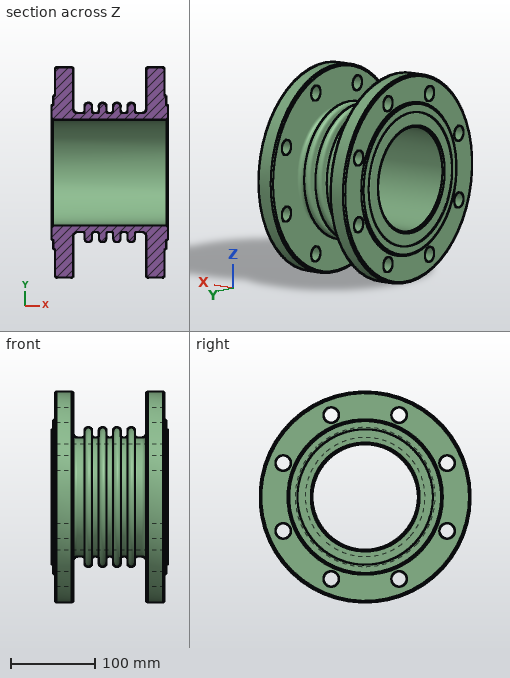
import cadquery as cq

length = 138.0
bore_radius = 62.5
pipe_radius = 70.8
edge_chamfer = 2.0

flange_radius = 125.0
flange_thickness = 22.0
raised_face_radius = 92.0
raised_face_height = 2.0
collar_radius = 80.2
collar_height = 2.0
step_chamfer = 2.0
collar_fillet = 1.8
flange_root_fillet = 4.8

bolt_count = 8
bolt_hole_diameter = 18.0
bolt_circle_diameter = 210.0

convolution_count = 4
convolution_span = 50.8
convolution_pitch = convolution_span / (convolution_count - 1)
convolution_width = 9.2
convolution_radius = 82.8
convolution_root_fillet = 2.0

half_length = length / 2
raised_face_end = half_length - collar_height
flange_outer_end = raised_face_end - raised_face_height
flange_inner_end = flange_outer_end - flange_thickness


def disc(radius, start, end):
    """Solid cylinder along X between two positions."""
    return cq.Workplane("YZ").workplane(offset=start).circle(radius).extrude(end - start)


def make_flange():
    """Flange on the +X end, with its stepped faces and root fillet."""
    plate = disc(flange_radius, flange_inner_end, flange_outer_end).edges().chamfer(edge_chamfer)
    raised_face = disc(raised_face_radius, flange_inner_end, raised_face_end)
    raised_face = raised_face.faces(">X").edges().chamfer(step_chamfer)
    collar = disc(collar_radius, flange_inner_end, half_length)
    collar = collar.faces(">X").edges().fillet(collar_fillet)

    fillet_end = flange_inner_end - flange_root_fillet
    arc_offset = flange_root_fillet * (1 - 0.5 ** 0.5)
    root = (
        cq.Workplane("XY")
        .moveTo(fillet_end, bore_radius)
        .lineTo(fillet_end, pipe_radius)
        .threePointArc(
            (flange_inner_end - arc_offset, pipe_radius + arc_offset),
            (flange_inner_end, pipe_radius + flange_root_fillet),
        )
        .lineTo(flange_inner_end, bore_radius)
        .close()
        .revolve(360, (0, 0, 0), (1, 0, 0))
    )

    bolt_holes = (
        cq.Workplane("YZ")
        .polarArray(bolt_circle_diameter / 2, 180 / bolt_count, 360, bolt_count)
        .circle(bolt_hole_diameter / 2)
        .extrude(length)
    )
    return plate.union(raised_face).union(collar).union(root).cut(bolt_holes)


def make_convolution(center):
    """Ring with a rounded crest and concave fillets where it meets the pipe."""
    crest = convolution_width / 2
    root = convolution_root_fillet
    arc_offset = root * (1 - 0.5 ** 0.5)
    return (
        cq.Workplane("XY")
        .moveTo(center - crest - root, bore_radius)
        .lineTo(center - crest - root, pipe_radius)
        .threePointArc(
            (center - crest - arc_offset, pipe_radius + arc_offset),
            (center - crest, pipe_radius + root),
        )
        .lineTo(center - crest, convolution_radius - crest)
        .threePointArc((center, convolution_radius), (center + crest, convolution_radius - crest))
        .lineTo(center + crest, pipe_radius + root)
        .threePointArc(
            (center + crest + arc_offset, pipe_radius + arc_offset),
            (center + crest + root, pipe_radius),
        )
        .lineTo(center + crest + root, bore_radius)
        .close()
        .revolve(360, (0, 0, 0), (1, 0, 0))
    )


flange = make_flange()
body = disc(pipe_radius, -flange_outer_end, flange_outer_end)
body = body.union(flange).union(flange.mirror("YZ"))

for index in range(convolution_count):
    center = (index - (convolution_count - 1) / 2) * convolution_pitch
    body = body.union(make_convolution(center))

bore = disc(bore_radius, -half_length, half_length)
result = body.cut(bore)
bore_mouths = result.faces("<X or >X").edges(cq.selectors.RadiusNthSelector(0))
result = bore_mouths.chamfer(edge_chamfer)